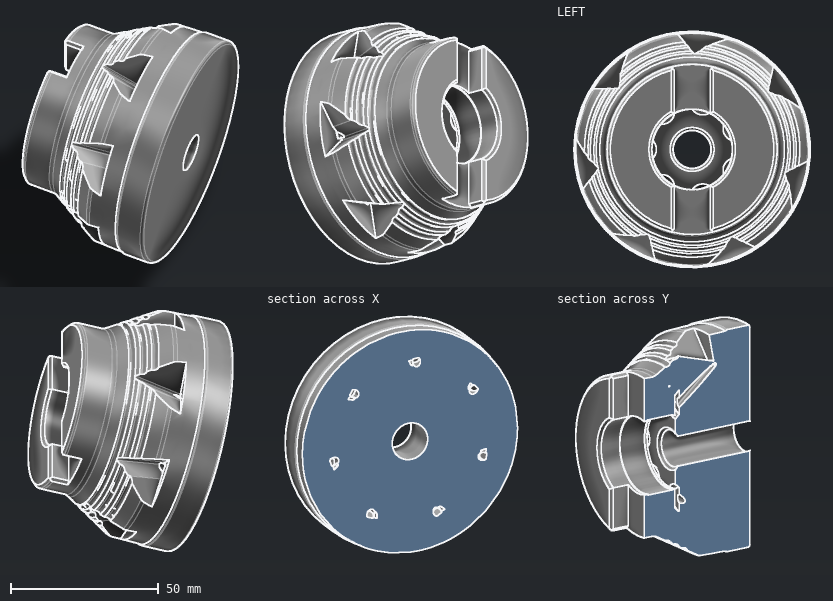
import cadquery as cq
import math

total_length = 50.1
flange_radius = 40.0
rim_front = 39.8
rim_front_bevel_length = 0.6
rim_front_bevel_rise = 0.3
rim_front_ease = 0.3
rim_back_fillet = 1.0
shoulder_front_radius = 39.3
shoulder_back_radius = 39.6
shoulder_blend = 2.8
cone_angle = 30.0
cone_start = 11.2
cone_start_blend = 3.2
hub_radius = 28.8
hub_chamfer = 1.1
hub_chamfer_blend = 1.0

groove_count = 3
groove_first = 15.5
groove_pitch = 3.4
groove_length = 2.1
groove_flat = 0.7

bore_radius = 13.6
bore_depth = 19.7
bore_relief_radius = 13.8
bore_relief_start = 8.6
bore_relief_end = 18.7
through_radius = 6.4
bore_chamfer = 1.0

slot_width = 12.2
slot_depth = 7.0
slot_chamfer = 1.0

pocket_count = 7
pocket_back = 33.4
pocket_tilt = 17.2
pocket_wall_angle = 11.0
pocket_root_y = -0.8
pocket_root_z = 27.0
pocket_root_fillet = 0.6
steep_wall_angle = 27.7
near_floor_angle = 42.6
far_floor_angle = 57.5
near_floor_height = 4.6
pocket_overshoot = 12.0

coolant_radius = 1.4
coolant_entry_radius = 4.2
coolant_entry_offset = 16.3
coolant_entry_depth = 1.6
coolant_exit = cq.Vector(36.0, -2.3, 28.4)

pocket_pitch = 360 / pocket_count
cone_slope = math.tan(math.radians(cone_angle))
cone_end = cone_start + (shoulder_front_radius - hub_radius) / cone_slope


def cone_radius(x):
    return hub_radius + (x - cone_start) * cone_slope


def turn(points):
    """Revolve an (x, radius) outline about the X axis."""
    return cq.Workplane("XY").polyline(points).close().revolve(360, (0, 0, 0), (1, 0, 0))


def fillet_ring(body, x, ring_radius, fillet_radius):
    """Round the circular edge of the given radius that lies at x."""
    margin = 0.01
    ring = cq.selectors.BoxSelector(
        (x - margin, -2 * ring_radius, -2 * ring_radius),
        (x + margin, 2 * ring_radius, 2 * ring_radius),
    )
    return body.edges(ring).edges("%CIRCLE").fillet(fillet_radius)


def turned_body():
    """Hub, cone, shoulder and flange without the grooves."""
    bevel_end = rim_front + rim_front_bevel_length
    body = turn([
        (0, 0),
        (0, hub_radius - hub_chamfer),
        (hub_chamfer, hub_radius),
        (cone_start, hub_radius),
        (cone_end, shoulder_front_radius),
        (rim_front, shoulder_back_radius),
        (bevel_end, shoulder_back_radius + rim_front_bevel_rise),
        (bevel_end + rim_front_ease, flange_radius),
        (total_length, flange_radius),
        (total_length, 0),
    ])
    body = fillet_ring(body, hub_chamfer, hub_radius, hub_chamfer_blend)
    body = fillet_ring(body, cone_start, hub_radius, cone_start_blend)
    body = fillet_ring(body, cone_end, shoulder_front_radius, shoulder_blend)
    return fillet_ring(body, total_length, flange_radius, rim_back_fillet)


def cone_groove(start):
    """Ring cut with a cylindrical floor that sweeps up to the cone."""
    end = start + groove_length
    floor = cone_radius(start)
    return (
        cq.Workplane("XY")
        .moveTo(start, floor)
        .lineTo(start + groove_flat, floor)
        .tangentArcPoint((end, cone_radius(end)), relative=False)
        .close()
        .revolve(360, (0, 0, 0), (1, 0, 0))
    )


def bore():
    """Chamfered pilot bore with a shallow relief, narrowing to the through hole."""
    return turn([
        (0, 0),
        (0, bore_radius + bore_chamfer),
        (bore_chamfer, bore_radius),
        (bore_relief_start, bore_radius),
        (bore_relief_start, bore_relief_radius),
        (bore_relief_end, bore_relief_radius),
        (bore_relief_end, bore_radius),
        (bore_depth, bore_radius),
        (bore_depth, through_radius + bore_chamfer),
        (bore_depth + bore_chamfer, through_radius),
        (total_length, through_radius),
        (total_length, 0),
    ])


def slot():
    """Slot with chamfered mouth and chamfered ends where it breaks out of the hub."""
    half = slot_width / 2
    wide = half + slot_chamfer
    channel = (
        cq.Workplane("XY")
        .polyline([(0, -wide), (slot_chamfer, -half), (slot_depth, -half),
                   (slot_depth, half), (slot_chamfer, half), (0, wide)])
        .close()
        .extrude(flange_radius, both=True)
    )
    wide_end = math.sqrt(hub_radius**2 - wide**2)
    narrow_end = wide_end - slot_chamfer
    flare = (
        cq.Workplane("YZ")
        .polyline([(-wide, hub_radius), (-wide, wide_end), (-half, narrow_end),
                   (half, narrow_end), (wide, wide_end), (wide, hub_radius)])
        .close()
        .extrude(slot_depth)
    )
    return channel.union(flare).union(flare.mirror("XY"))


def pocket():
    """V-shaped channel that deepens towards a conical back wall."""
    tilt = math.tan(math.radians(pocket_tilt))
    steep = math.tan(math.radians(steep_wall_angle))
    near = math.tan(math.radians(near_floor_angle))
    far = math.tan(math.radians(far_floor_angle))
    height = flange_radius - pocket_root_z + pocket_overshoot
    bend_y = pocket_root_y - near_floor_height * near
    section = [
        (pocket_root_y, 0),
        (pocket_root_y + height * steep, height),
        (bend_y - (height - near_floor_height) * far, height),
        (bend_y, near_floor_height),
    ]
    root_z = pocket_root_z - (total_length - pocket_back) * tilt
    wire = cq.Wire.makePolygon([cq.Vector(total_length, y, root_z + z) for y, z in section], close=True)
    root = [vertex for vertex in wire.Vertices() if vertex.Z < root_z + near_floor_height / 2]
    wire = wire.fillet2D(pocket_root_fillet, root)
    channel = cq.Solid.extrudeLinear(wire, [], cq.Vector(-total_length, 0, total_length * tilt))

    wall_reach = shoulder_front_radius * math.tan(math.radians(pocket_wall_angle))
    wall_limit = turn([
        (0, 0),
        (pocket_back + wall_reach, 0),
        (pocket_back, shoulder_front_radius),
        (pocket_back, 2 * flange_radius),
        (0, 2 * flange_radius),
    ])
    return cq.Workplane(channel).intersect(wall_limit)


def coolant_hole():
    """Narrow hole to the pocket with a wide entry that slants outwards from the bore floor."""
    mouth = cq.Wire.makeCircle(
        coolant_entry_radius, cq.Vector(bore_depth, 0, coolant_entry_offset), cq.Vector(1, 0, 0)
    )
    slant = cq.Vector(coolant_entry_depth, 0, coolant_entry_depth)
    entry = cq.Solid.extrudeLinear(mouth, [], slant)
    entry = entry.rotate(cq.Vector(0, 0, 0), cq.Vector(1, 0, 0), pocket_pitch / 4)
    passage_start = entry.Center()
    path = coolant_exit - passage_start
    passage = cq.Solid.makeCylinder(coolant_radius, path.Length, passage_start, path)
    return cq.Workplane(entry).union(cq.Workplane(passage))


body = turned_body()
for index in range(groove_count):
    body = body.cut(cone_groove(groove_first + index * groove_pitch))
body = body.cut(bore()).cut(slot())

pocket_tool = pocket().union(coolant_hole())
for index in range(pocket_count):
    body = body.cut(pocket_tool.rotate((0, 0, 0), (1, 0, 0), index * pocket_pitch))

result = body